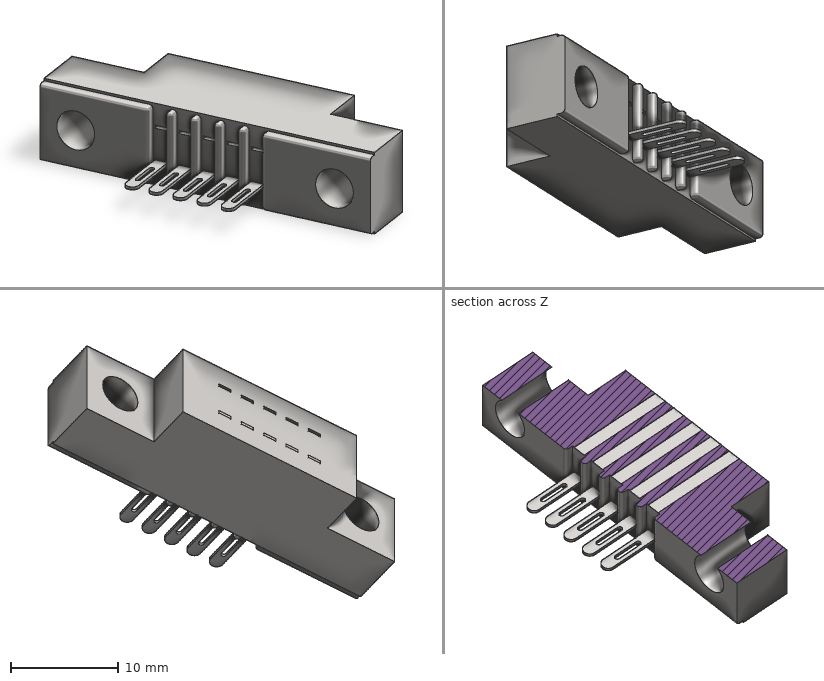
import cadquery as cq


BODY_LENGTH = 34.92
BODY_HEIGHT = 8.38
BODY_FRONT = -10.3
TOWER_LENGTH = 19.7
SHOULDER = -4.75

RAISED_DEPTH = 0.85
RAISED_INSET = 0.25
RAISED_HEIGHT = BODY_HEIGHT - 2 * RAISED_INSET
PAD_GAP = 11.95
PAD_LENGTH = (BODY_LENGTH - PAD_GAP) / 2
RIB_WIDTH = 0.77
RIB_CREST = 0.05
EDGE_RADIUS = (RIB_WIDTH - RIB_CREST) / 2

HOLE_DIAMETER = 3.98
HOLE_SPACING = 27.35

PIN_COUNT = 5
PIN_ROW_SPAN = 10.15
PIN_PITCH = PIN_ROW_SPAN / (PIN_COUNT - 1)
PIN_WIDTH = 1.35
PIN_THICKNESS = 0.3
ROW_OFFSET = 1.78
PIN_TIP = -16.7
EYE_WIDTH = 0.52
EYE_LENGTH = 3.18
EYE_TO_TIP = 1.57


def row_positions(count):
    """X positions of `count` items at the pin pitch, centred on X = 0."""
    return [(i - (count - 1) / 2) * PIN_PITCH for i in range(count)]


def block(x_length, y_back, y_front, z_height):
    """A box centred in X and Z that runs from y_back forward to y_front."""
    return (
        cq.Workplane("XY")
        .box(x_length, y_back - y_front, z_height)
        .translate((0, (y_back + y_front) / 2, 0))
    )


def raised_block(x_length):
    """A box standing on the front face of the housing."""
    return block(x_length, BODY_FRONT, BODY_FRONT - RAISED_DEPTH, RAISED_HEIGHT)


def make_right_pad():
    """A mounting pad at the +X end, rounded on every edge off the housing and off the end face."""
    pad = raised_block(PAD_LENGTH).edges("not (>Y or >X)").fillet(EDGE_RADIUS)
    return pad.translate(((BODY_LENGTH - PAD_LENGTH) / 2, 0, 0))


def make_rib():
    """A separator rib between two neighbouring pins, rounded on every edge off the housing."""
    return raised_block(RIB_WIDTH).edges("not >Y").fillet(EDGE_RADIUS)


def make_slot(x, z):
    """The cutter for one contact slot, which passes right through the housing."""
    return block(PIN_WIDTH, 0, BODY_FRONT, PIN_THICKNESS).translate((x, 0, z))


def make_hole(x):
    """The cutter for one mounting hole along Y."""
    depth = RAISED_DEPTH - BODY_FRONT
    return cq.Workplane("XZ").center(x, 0).circle(HOLE_DIAMETER / 2).extrude(depth)


def make_housing():
    """The stepped block with its pads and ribs, holes and slots."""
    housing = block(BODY_LENGTH, SHOULDER, BODY_FRONT, BODY_HEIGHT)
    housing = housing.union(block(TOWER_LENGTH, 0, BODY_FRONT, BODY_HEIGHT))

    right_pad = make_right_pad()
    housing = housing.union(right_pad).union(right_pad.mirror("YZ"))
    for x in row_positions(PIN_COUNT - 1):
        housing = housing.union(make_rib().translate((x, 0, 0)))

    for x in (-HOLE_SPACING / 2, HOLE_SPACING / 2):
        housing = housing.cut(make_hole(x))
    for x in row_positions(PIN_COUNT):
        for z in (-ROW_OFFSET, ROW_OFFSET):
            housing = housing.cut(make_slot(x, z))
    return housing


def make_pin(x):
    """A flat pin that fills its lower slot, with a round tip and a long eye near the tip."""
    radius = PIN_WIDTH / 2
    blade = (
        cq.Workplane("XY")
        .moveTo(-radius, 0)
        .lineTo(-radius, PIN_TIP + radius)
        .threePointArc((0, PIN_TIP), (radius, PIN_TIP + radius))
        .lineTo(radius, 0)
        .close()
        .extrude(PIN_THICKNESS / 2, both=True)
    )
    eye = (
        cq.Workplane("XY")
        .center(0, PIN_TIP + EYE_TO_TIP + EYE_LENGTH / 2)
        .slot2D(EYE_LENGTH, EYE_WIDTH, 90)
        .extrude(PIN_THICKNESS, both=True)
    )
    return blade.cut(eye).translate((x, 0, -ROW_OFFSET))


housing = make_housing()
pins = [make_pin(x) for x in row_positions(PIN_COUNT)]

result = cq.Compound.makeCompound([housing.val(), *[pin.val() for pin in pins]])